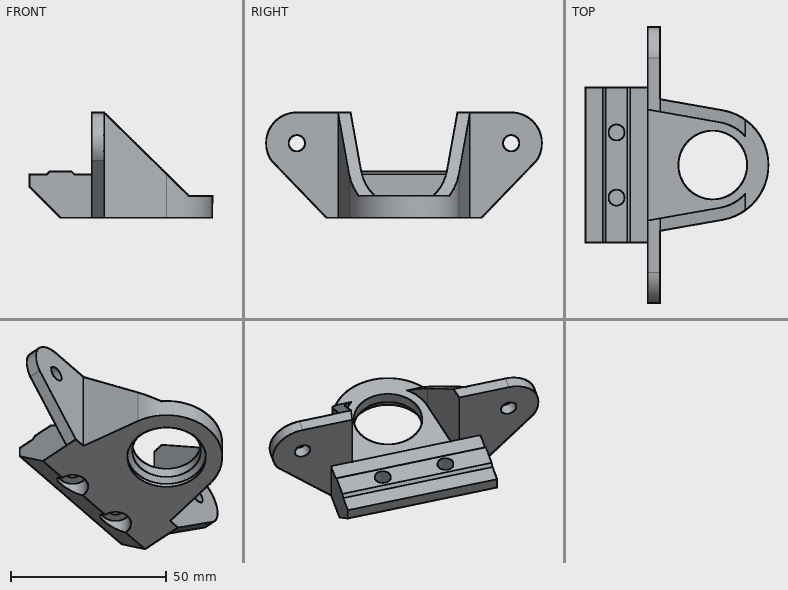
import cadquery as cq
import math

plate_thickness = 4.0
plate_back = 20.0
plate_front = plate_back + plate_thickness
half_span = 44.5
height = 34.0
ear_radius = 10.0
ear_y = half_span - ear_radius
ear_z = height - ear_radius
ear_edge_z = 18.5
pin_diameter = 5.2

block_half_width = 25.0
block_height = 14.0
block_chamfer = 10.0
block_edge_height = 10.0
rail_center_x = plate_back / 2
rail_base_width = 9.0
rail_height = 1.0
rail_chamfer = 1.0
screw_diameter = 5.2
screw_head_diameter = 10.0
screw_head_depth = 7.0
screw_web = 0.3
screw_y = 10.5

socket_radius = 18.0
overall_length = 59.0
socket_x = overall_length - socket_radius
wall_thickness = 4.0
wall_taper = math.radians(10)
floor_thickness = 7.0
bore_diameter = 22.1
bore_recess_diameter = 25.3
bore_recess_depth = 3.0
brace_end_x = 51.4


def tapered_tongue(radius, start_x, base_z, top_z):
    """Solid with a round nose about the bore axis and sides widening towards start_x."""
    tangent_x = socket_x + radius * math.sin(wall_taper)
    tangent_y = radius * math.cos(wall_taper)
    start_y = tangent_y + (tangent_x - start_x) * math.tan(wall_taper)
    return (
        cq.Workplane("XY", origin=(0, 0, base_z))
        .moveTo(start_x, -start_y)
        .lineTo(tangent_x, -tangent_y)
        .threePointArc((socket_x + radius, 0), (tangent_x, tangent_y))
        .lineTo(start_x, start_y)
        .close()
        .extrude(top_z - base_z)
    )


def make_plate():
    edge_y = ear_y + math.sqrt(ear_radius**2 - (ear_z - ear_edge_z) ** 2)
    diagonal = ear_radius * math.sqrt(0.5)
    return (
        cq.Workplane("YZ", origin=(plate_back, 0, 0))
        .moveTo(-block_half_width, 0)
        .lineTo(block_half_width, 0)
        .lineTo(edge_y, ear_edge_z)
        .threePointArc((ear_y + diagonal, ear_z + diagonal), (ear_y, height))
        .lineTo(-ear_y, height)
        .threePointArc((-ear_y - diagonal, ear_z + diagonal), (-edge_y, ear_edge_z))
        .close()
        .extrude(plate_thickness)
    )


def make_block():
    rail_left = rail_center_x - rail_base_width / 2
    rail_right = rail_center_x + rail_base_width / 2
    rail_top = block_height + rail_height
    return (
        cq.Workplane("XZ", origin=(0, block_half_width, 0))
        .moveTo(block_chamfer, 0)
        .lineTo(plate_back, 0)
        .lineTo(plate_back, block_height)
        .lineTo(rail_right, block_height)
        .lineTo(rail_right - rail_chamfer, rail_top)
        .lineTo(rail_left + rail_chamfer, rail_top)
        .lineTo(rail_left, block_height)
        .lineTo(0, block_height)
        .lineTo(0, block_edge_height)
        .close()
        .extrude(2 * block_half_width)
    )


def make_socket():
    body = tapered_tongue(socket_radius, plate_front, 0, height)
    above_slope = (
        cq.Workplane("XZ", origin=(0, half_span, 0))
        .moveTo(plate_front, height)
        .lineTo(brace_end_x, floor_thickness)
        .lineTo(socket_x + 2 * socket_radius, floor_thickness)
        .lineTo(socket_x + 2 * socket_radius, height)
        .close()
        .extrude(2 * half_span)
    )
    return body.cut(above_slope)


def vertical_hole(x, y, diameter, bottom_z, top_z):
    return (
        cq.Workplane("XY", origin=(x, y, bottom_z))
        .circle(diameter / 2)
        .extrude(top_z - bottom_z)
    )


def make_bore():
    bore_radius = bore_diameter / 2
    recess_radius = bore_recess_diameter / 2
    cone_height = recess_radius - bore_radius
    profile = (
        cq.Workplane("XZ", origin=(socket_x, 0, 0))
        .lineTo(recess_radius, 0)
        .lineTo(recess_radius, bore_recess_depth - cone_height)
        .lineTo(bore_radius, bore_recess_depth)
        .lineTo(bore_radius, floor_thickness)
        .lineTo(0, floor_thickness)
        .close()
    )
    return profile.revolve(360, (0, 0, 0), (0, 1, 0))


result = make_plate().union(make_block()).union(make_socket())

result = result.cut(tapered_tongue(socket_radius - wall_thickness, plate_back, floor_thickness, height))

result = result.cut(make_bore())

for side in (-1, 1):
    hole_bottom = screw_head_depth + screw_web
    screw_hole = vertical_hole(rail_center_x, side * screw_y, screw_diameter, hole_bottom, height)
    head_recess = vertical_hole(rail_center_x, side * screw_y, screw_head_diameter, 0, screw_head_depth)
    result = result.cut(screw_hole).cut(head_recess)
    pin_hole = (
        cq.Workplane("YZ", origin=(plate_back, 0, 0))
        .center(side * ear_y, ear_z)
        .circle(pin_diameter / 2)
        .extrude(plate_thickness)
    )
    result = result.cut(pin_hole)